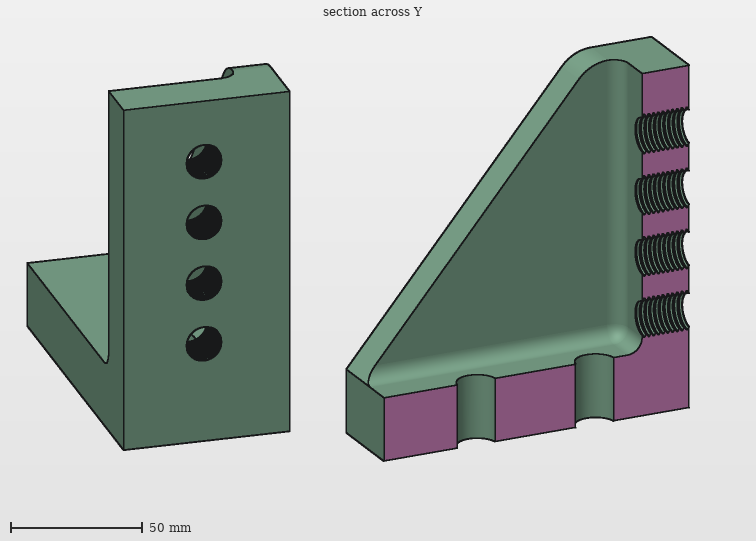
import cadquery as cq
import math

LENGTH = 129.0
WIDTH = 66.0
HEIGHT = 140.0

BASE_THICKNESS = 26.0
WALL_THICKNESS = 20.0
RIB_THICKNESS = 15.0
INNER_FILLET = 6.0
RIB_TOP_FLAT = 25.7
RIB_TOP_RADIUS = 16.0

HOLE_ROW_Y = 32.0
BASE_HOLE_DIAMETER = 16.0
BASE_HOLE_COUNT = 2
BASE_HOLE_FIRST_X = 39.0
BASE_HOLE_PITCH = 50.0
WALL_HOLE_COUNT = 4
WALL_HOLE_FIRST_Z = 40.0
WALL_HOLE_PITCH = 25.0

THREAD_MAJOR_DIAMETER = 16.0
THREAD_MINOR_DIAMETER = 13.835
THREAD_PITCH = 2.0
THREAD_CREST_FLAT = THREAD_PITCH / 4
THREAD_ROOT_FLAT = THREAD_PITCH / 8

WALL_FACE_X = LENGTH - WALL_THICKNESS
RIB_FACE_Y = WIDTH - RIB_THICKNESS


def side_outline():
    """Triangular side profile in XZ whose slope is tangent to the rounded top corner."""
    arc_x = LENGTH - RIB_TOP_FLAT
    center_z = HEIGHT - RIB_TOP_RADIUS
    run = arc_x
    rise = center_z - BASE_THICKNESS
    slope = math.atan2(rise, run) + math.asin(RIB_TOP_RADIUS / math.hypot(run, rise))
    normal = slope + math.pi / 2
    middle = (normal + math.pi / 2) / 2

    def on_corner(angle):
        return (
            arc_x + RIB_TOP_RADIUS * math.cos(angle),
            center_z + RIB_TOP_RADIUS * math.sin(angle),
        )

    return (
        cq.Workplane("XZ")
        .lineTo(LENGTH, 0)
        .lineTo(LENGTH, HEIGHT)
        .lineTo(arc_x, HEIGHT)
        .threePointArc(on_corner(middle), on_corner(normal))
        .lineTo(0, BASE_THICKNESS)
        .close()
    )


def bracket_body():
    """Full-width profile with the space in front of the rib and wall cut away."""
    overrun = 2 * INNER_FILLET
    cutter = (
        cq.Workplane("XY")
        .box(
            WALL_FACE_X + overrun,
            RIB_FACE_Y + overrun,
            HEIGHT - BASE_THICKNESS + overrun,
            centered=False,
        )
        .translate((-overrun, -overrun, BASE_THICKNESS))
        .edges("(>X and >Y) or (>X and <Z) or (>Y and <Z)")
        .fillet(INNER_FILLET)
    )
    return side_outline().extrude(-WIDTH).cut(cutter)


def base_holes():
    """Plain through holes in a row along X."""
    points = [(BASE_HOLE_FIRST_X + i * BASE_HOLE_PITCH, HOLE_ROW_Y) for i in range(BASE_HOLE_COUNT)]
    return cq.Workplane("XY").pushPoints(points).circle(BASE_HOLE_DIAMETER / 2).extrude(BASE_THICKNESS)


def wall_holes():
    """Threaded through holes, each thread a stack of ring grooves with flat crests and roots."""
    minor_radius = THREAD_MINOR_DIAMETER / 2
    major_radius = THREAD_MAJOR_DIAMETER / 2
    ring_count = round(WALL_THICKNESS / THREAD_PITCH)
    half_crest = THREAD_CREST_FLAT / 2
    half_root = THREAD_ROOT_FLAT / 2
    profile = cq.Workplane("XY").lineTo(0, minor_radius)
    for ring in range(ring_count):
        ring_start = ring * THREAD_PITCH
        ring_middle = ring_start + THREAD_PITCH / 2
        ring_end = ring_start + THREAD_PITCH
        profile = (
            profile.lineTo(ring_start + half_crest, minor_radius)
            .lineTo(ring_middle - half_root, major_radius)
            .lineTo(ring_middle + half_root, major_radius)
            .lineTo(ring_end - half_crest, minor_radius)
        )
    profile = profile.lineTo(WALL_THICKNESS, minor_radius)
    thread = profile.lineTo(WALL_THICKNESS, 0).close().revolve(360, (0, 0), (1, 0)).val()

    holes = cq.Workplane("XY")
    for i in range(WALL_HOLE_COUNT):
        hole_z = WALL_HOLE_FIRST_Z + i * WALL_HOLE_PITCH
        holes = holes.add(thread.translate(cq.Vector(WALL_FACE_X, HOLE_ROW_Y, hole_z)))
    return holes.combine()


result = bracket_body().cut(base_holes()).cut(wall_holes())